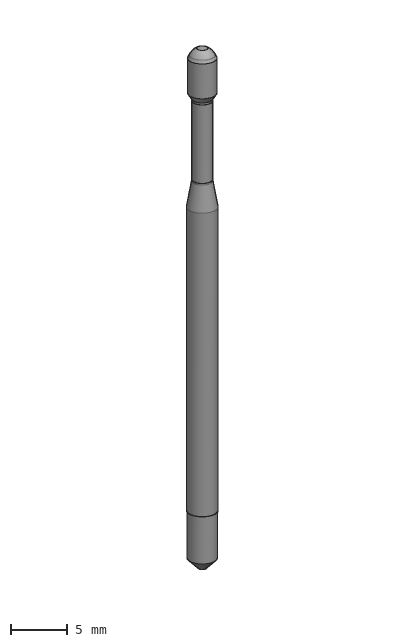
import cadquery as cq

total_length = 50.2

barrel_diameter = 2.8
tail_diameter = 2.7
tail_tip_diameter = 0.7
stem_diameter = 1.85
head_diameter = 2.6
head_flat_diameter = 1.0
dome_base_diameter = 2.3
collar_diameter = 1.9

tail_cone_top = (tail_diameter - tail_tip_diameter) / 2
barrel_bottom = 5.55
barrel_top = 34.9
collar_bottom = 37.4
collar_top = 37.55
head_bottom = 45.15
head_cone_bottom = 45.35
head_cylinder_bottom = 45.9
head_cylinder_top = 49.25
dome_base = 49.55

dome_bulge = 0.075


def cylinder(diameter, bottom, top):
    """Coaxial cylinder between two heights."""
    return cq.Workplane("XY").workplane(offset=bottom).circle(diameter / 2).extrude(top - bottom)


def cone(bottom_diameter, bottom, top_diameter, top):
    """Coaxial truncated cone between two heights."""
    return (
        cq.Workplane("XY")
        .workplane(offset=bottom)
        .circle(bottom_diameter / 2)
        .workplane(offset=top - bottom)
        .circle(top_diameter / 2)
        .loft(ruled=True)
    )


def tail():
    """Straight tail pin with a conical tip."""
    tip = cone(tail_tip_diameter, 0, tail_diameter, tail_cone_top)
    return tip.union(cylinder(tail_diameter, tail_cone_top, barrel_bottom))


def barrel():
    """Long barrel tapering to a narrow collar around the stem."""
    body = cylinder(barrel_diameter, barrel_bottom, barrel_top)
    taper = cone(barrel_diameter, barrel_top, collar_diameter, collar_bottom)
    collar = cylinder(collar_diameter, collar_bottom, collar_top)
    return body.union(taper).union(collar)


def stem():
    """Plunger stem between the barrel collar and the head."""
    return cylinder(stem_diameter, collar_top, head_bottom)


def head():
    """Plunger head with a conical underside and a rounded, flat-topped crown."""
    neck_radius = collar_diameter / 2
    head_radius = head_diameter / 2
    dome_radius = dome_base_diameter / 2
    flat_radius = head_flat_diameter / 2
    return (
        cq.Workplane("XZ")
        .moveTo(0, head_bottom)
        .lineTo(neck_radius, head_bottom)
        .lineTo(neck_radius, head_cone_bottom)
        .lineTo(head_radius, head_cylinder_bottom)
        .lineTo(head_radius, head_cylinder_top)
        .lineTo(dome_radius, dome_base)
        .sagittaArc((flat_radius, total_length), -dome_bulge)
        .lineTo(0, total_length)
        .close()
        .revolve(360, (0, 0), (0, 1))
    )


result = tail().union(barrel()).union(stem()).union(head())